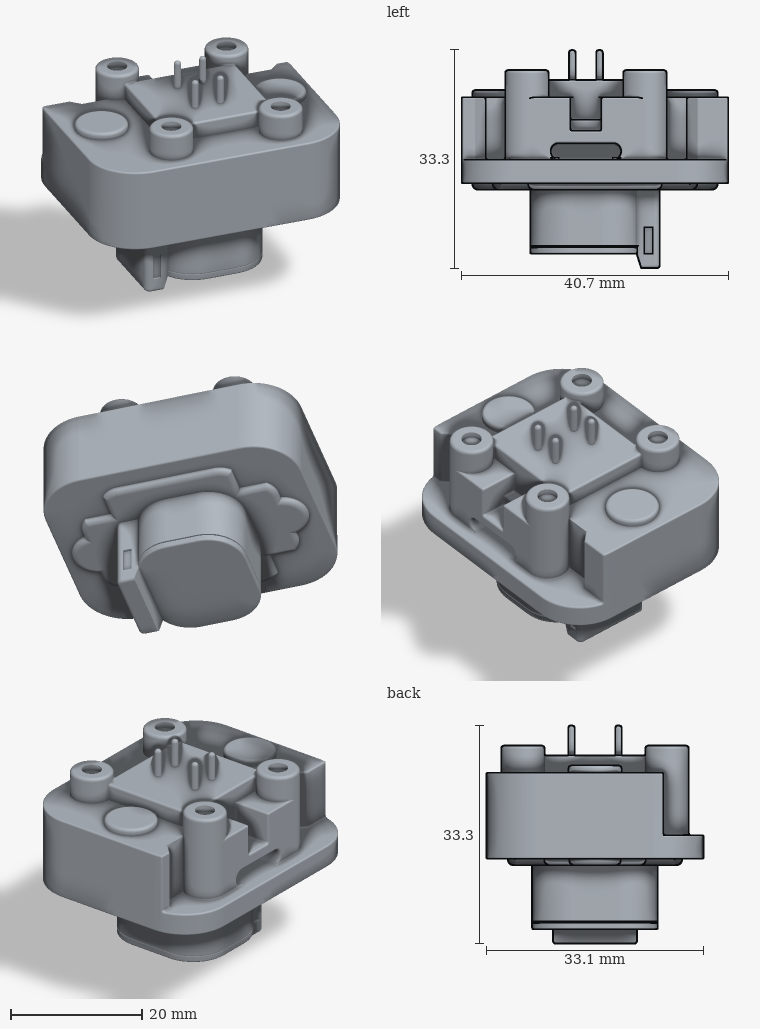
import cadquery as cq
import math

length = 40.65
width = 33.1
corner_radius = 7.6
housing_top = 13.15
flange_top = 3.6
edge_round = 0.3

wall_x = -8.75
wall_end_x = -10.4
wall_bend_south = -14.0
wall_bend_north = 16.67
step_setback = wall_x - wall_end_x

core_y = 1.4
boss_x = 10.98
boss_half_pitch = 9.0
boss_radius = 3.35
boss_top = 17.3
boss_hole_radius = 1.55
boss_hole_depth = 1.0
cap_round = 0.53
base_round = 0.25

stud_y = 14.65
stud_radius = 4.05
stud_top = 14.25

core_x = 0.25
core_half_x = 8.3
core_half_y = 9.05
core_top = 15.78
core_round = 0.35
boss_blend = 0.2
web_half_width = 1.75

pin_x = 3.58
pin_half_pitch = 2.07
pin_radius = 0.53
pin_top = 20.35
pin_round = 0.5

block_x = -boss_x - boss_radius
notch_half_width = 2.35
notch_floor = 8.0
sill_top = 9.68
sill_x = -10.0
notch_round = 0.33
slot_radius = 1.25
slot_half_pitch = 4.1
slot_round = 0.33

pad_depth = 0.98
pad_arm_half_x = 13.3
pad_arm_half_width = 10.2
pad_spine_half_y = 15.57
pad_spine_half_width = 7.75
pad_end_arc_width = 2.52
pad_end_arc_drop = 1.15
pad_round = 0.95

plug_half_x = 9.6
plug_half_y = 8.5
plug_corner = 5.98
plug_end = -10.75
plug_round = 0.3
groove_top = -9.5
groove_width = 0.25
groove_depth = 1.05

key_half_x = 6.42
key_front = -9.9
key_end = -12.95
key_back = -6.35
key_blend = 0.25
key_tip_back = -7.05
key_corner = 0.85
key_end_round = 0.5
window_y = -8.15
window_width = 1.3
window_top = -6.7
window_depth = 0.4

boss_ys = (core_y - boss_half_pitch, core_y + boss_half_pitch)
boss_centres = [(x, y) for x in (-boss_x, boss_x) for y in boss_ys]

slack = 0.4
tolerance = 0.005


def box(x0, x1, y0, y1, z0, z1):
    """Box given by its limits along each axis."""
    return cq.Workplane("XY").box(x1 - x0, y1 - y0, z1 - z0, centered=False).translate((x0, y0, z0))


def cylinder(x, y, radius, z0, z1):
    """Upright cylinder."""
    return cq.Workplane("XY").workplane(offset=z0).center(x, y).circle(radius).extrude(z1 - z0)


def near(x0, x1, y0, y1, z0, z1):
    """Selector for the edges whose centre lies inside the given limits."""
    return cq.selectors.BoxSelector((x0, y0, z0), (x1, y1, z1))


def rounded_slab(half_x, half_y, radius, y, z0, z1):
    """Slab with rounded upright corners, centred on x = 0."""
    slab = box(-half_x, half_x, y - half_y, y + half_y, z0, z1)
    return slab.edges("|Z").fillet(radius)


def make_housing():
    """Slab with the step cut away; every edge is rounded except those along the middle wall."""
    half_x = width / 2
    half_y = length / 2
    slab = rounded_slab(half_x, half_y, corner_radius, 0, 0, housing_top)
    step = (
        cq.Workplane("XY")
        .workplane(offset=flange_top)
        .polyline([
            (-half_x - slack, -half_y - slack),
            (wall_end_x, -half_y - slack),
            (wall_end_x, wall_bend_south - step_setback),
            (wall_x, wall_bend_south),
            (wall_x, wall_bend_north),
            (wall_end_x, wall_bend_north + step_setback),
            (wall_end_x, half_y + slack),
            (-half_x - slack, half_y + slack),
        ])
        .close()
        .extrude(housing_top)
    )
    housing = slab.cut(step)

    def is_rounded(edge):
        at = edge.Center()
        on_middle_wall = abs(at.x - wall_x) < tolerance
        level = edge.BoundingBox().zlen < tolerance
        on_end_wall = abs(at.x - wall_end_x) < tolerance
        return not on_middle_wall and (level or on_end_wall)

    return housing.edges().filter(is_rounded).fillet(edge_round)


def boss_body(x, y, bottom):
    """One screw boss with a rounded top."""
    return cylinder(x, y, boss_radius, bottom, boss_top).faces(">Z").edges().fillet(cap_round)


def make_boss_holes():
    holes = cq.Workplane("XY")
    for x, y in boss_centres:
        holes = holes.union(cylinder(x, y, boss_hole_radius, boss_top - boss_hole_depth, boss_top + slack))
    return holes


def make_studs():
    """Two studs, with a web filling the narrow gap between the +Y one and the core."""
    web = box(-web_half_width, web_half_width, core_y + core_half_y - core_round, stud_y,
              flange_top, stud_top - cap_round)
    studs = web
    for y in (-stud_y, stud_y):
        stud = cylinder(0, y, stud_radius, flange_top, stud_top)
        studs = studs.union(stud.faces(">Z").edges().fillet(cap_round))
    return studs


def make_core():
    """Raised central block blended into the four bosses at its corners."""
    core = box(core_x - core_half_x, core_x + core_half_x,
               core_y - core_half_y, core_y + core_half_y, housing_top, core_top)
    core = core.faces(">Z").edges().fillet(core_round)
    for x, y in boss_centres:
        core = core.union(boss_body(x, y, housing_top))

    def meets_boss(edge):
        at = edge.Center()
        from_axis = min(math.hypot(at.x - x, at.y - y) for x, y in boss_centres)
        below_core_top = edge.BoundingBox().zmax < core_top + tolerance
        return from_axis < boss_radius + boss_blend and at.z > housing_top + tolerance and below_core_top

    return core.edges().filter(meets_boss).fillet(boss_blend)


def make_pins():
    pins = cq.Workplane("XY")
    for x in (-pin_x, pin_x):
        for y in (core_y - pin_half_pitch, core_y + pin_half_pitch):
            pin = cylinder(x, y, pin_radius, flange_top, pin_top)
            pins = pins.union(pin.faces(">Z").edges().fillet(pin_round))
    return pins


def add_side_block(housing):
    """Join a block and the shanks of the -X bosses to the housing, with a fillet along the flange."""
    y0, y1 = boss_ys
    embedded_z = flange_top / 2
    block = box(block_x, wall_x + slack, y0, y1, embedded_z, housing_top)
    body = housing.union(block.edges("|Y and >Z and <X").fillet(edge_round))
    for y in boss_ys:
        body = body.union(boss_body(-boss_x, y, embedded_z))
    foot = near(
        block_x - slack, wall_x - slack,
        y0 - boss_radius - slack, y1 + boss_radius + slack,
        flange_top - tolerance, flange_top + tolerance,
    )
    return body.edges(foot).fillet(base_round)


def cut_notch(body):
    """Notch through the side block, with a raised sill at its inner end and rounded edges."""
    y0 = core_y - notch_half_width
    y1 = core_y + notch_half_width
    core_wall_x = core_x - core_half_x
    outer = box(block_x - slack, sill_x, y0, y1, notch_floor, housing_top + slack)
    inner = box(sill_x, core_wall_x, y0, y1, sill_top, housing_top + slack)
    all_edges = near(
        block_x - slack, core_wall_x + tolerance,
        y0 - tolerance, y1 + tolerance,
        notch_floor - tolerance, housing_top + tolerance,
    )
    edge_below_core = near(
        core_wall_x - tolerance, core_wall_x + tolerance,
        y0 - tolerance, y1 + tolerance,
        housing_top - tolerance, housing_top + tolerance,
    )
    return body.cut(outer.union(inner)).edges(all_edges - edge_below_core).fillet(notch_round)


def make_slot():
    """Slot cutter: level with the flange, rounded at its floor and flared at its mouth."""
    slot_z = flange_top + slot_radius
    slot_half_length = slot_half_pitch + slot_radius
    slot = (
        cq.Workplane("YZ")
        .workplane(offset=block_x)
        .center(core_y, slot_z)
        .slot2D(2 * slot_half_length, 2 * slot_radius)
        .extrude(wall_x - block_x)
    )
    slot = slot.faces(">X").edges().fillet(slot_round)

    margin = slot_round + slack
    plate_half_z = slot_radius + margin
    plate = box(
        block_x, block_x + 2 * slot_round,
        core_y - slot_half_length - margin, core_y + slot_half_length + margin,
        slot_z - plate_half_z, slot_z + plate_half_z,
    )
    slotted = plate.cut(slot)
    rounded = slotted.faces("<X").edges(near(
        block_x - slack, block_x + slack,
        core_y - slot_half_length - tolerance, core_y + slot_half_length + tolerance,
        slot_z - slot_radius - tolerance, slot_z + slot_radius + tolerance,
    )).fillet(slot_round)
    flare = slotted.cut(rounded)

    foot_gap = box(
        block_x - base_round, block_x,
        core_y - slot_half_pitch, core_y + slot_half_pitch,
        flange_top, flange_top + base_round,
    )
    below_flange = plate.translate((0, 0, flange_top - slot_z - plate_half_z))
    return slot.union(flare).cut(below_flange).union(foot_gap)


def pad_bar(half_length, half_width):
    """Bar along X whose ends are flat in the middle and curve back towards both sides."""
    flat_half = half_width - pad_end_arc_width
    shoulder = half_length - pad_end_arc_drop
    return (
        cq.Workplane("XY")
        .moveTo(half_length, 0)
        .lineTo(half_length, flat_half)
        .tangentArcPoint((shoulder, half_width), relative=False)
        .lineTo(0, half_width)
        .mirrorX()
        .mirrorY()
        .extrude(-pad_depth)
    )


def make_pad():
    """Cross of two bars with a round lobe at each end of the longer one."""
    arms = pad_bar(pad_arm_half_x, pad_arm_half_width)
    spine = pad_bar(pad_spine_half_y, pad_spine_half_width).rotate((0, 0, 0), (0, 0, 1), 90)
    pad = arms.union(spine).faces("<Z").edges().fillet(pad_round)
    for y in (-stud_y, stud_y):
        lobe = cylinder(0, y, stud_radius, -pad_depth, 0)
        pad = pad.union(lobe.faces("<Z").edges().fillet(pad_round))
    return pad


def make_plug():
    """Rounded plug with a groove that leaves a thin lip at its end."""
    lip_top = groove_top - groove_width
    shank = rounded_slab(plug_half_x, plug_half_y, plug_corner, core_y, groove_top, 0)
    shank = shank.union(box(-key_half_x, key_half_x, key_tip_back, core_y, groove_top, 0))
    shank = shank.edges("|Z").edges(near(
        -key_half_x - tolerance, key_half_x + tolerance,
        key_tip_back + tolerance, core_y,
        groove_top, 0,
    )).fillet(key_blend)
    neck = rounded_slab(
        plug_half_x - groove_depth,
        plug_half_y - groove_depth,
        plug_corner - groove_depth,
        core_y,
        lip_top,
        groove_top,
    )
    lip = rounded_slab(plug_half_x, plug_half_y, plug_corner, core_y, plug_end, lip_top)
    lip = lip.faces("<Z").edges().fillet(plug_round)
    return shank.union(neck).union(lip)


def make_key():
    """Key along the -Y side of the plug, tapered at its tip, with a shallow window in each side."""
    key = (
        cq.Workplane("YZ")
        .workplane(offset=-key_half_x)
        .polyline([
            (key_front, 0),
            (key_front, key_end),
            (key_tip_back, key_end),
            (key_back, plug_end),
            (key_back, 0),
        ])
        .close()
        .extrude(2 * key_half_x)
    )
    key = key.edges("|Z and <Y").fillet(key_corner)
    key = key.faces("<Z").edges("not >Y").fillet(key_end_round)
    for x in (-key_half_x, key_half_x):
        window = box(
            x - window_depth,
            x + window_depth,
            window_y - window_width / 2,
            window_y + window_width / 2,
            plug_end,
            window_top,
        )
        key = key.cut(window)
    return key


body = add_side_block(make_housing())
body = cut_notch(body).cut(make_slot())
body = body.union(make_core()).union(make_studs()).union(make_pins()).cut(make_boss_holes())
result = body.union(make_pad()).union(make_plug()).union(make_key())